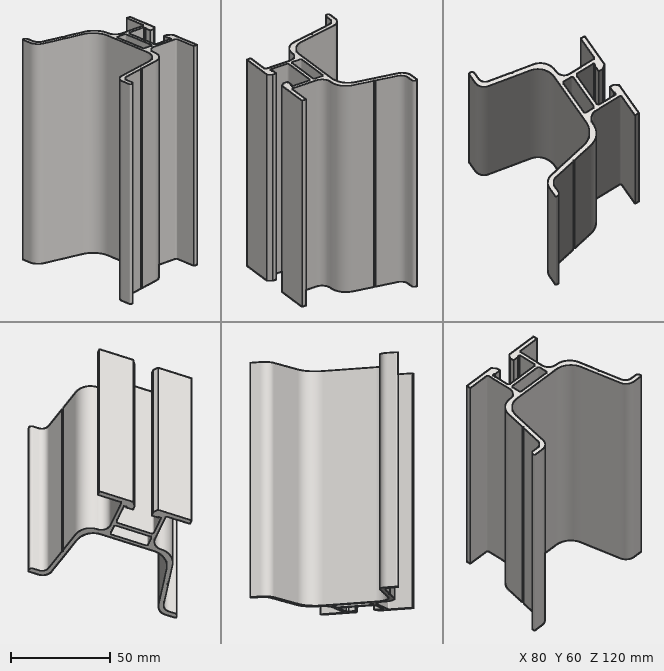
import cadquery as cq
import math

length = 120
height = 60
overall_width = 80.0

flange_half_width = 25.0
flange_thickness = 2.4
flange_root_radius = 0.7
slot_half_width = 5.0
lip_depth = 4.5
lip_chamfer_x = 1.7
lip_chamfer_y = 2.3
lip_relief_width = 1.5
lip_relief_depth = 0.4

wall_outer_x = 12.0
wall_thickness = 1.9
channel_floor_y = 44.9
channel_corner_radius = 1.2
cell_top_y = 43.0
cell_bottom_y = 37.0
cell_corner_radius = 0.8

arch_outer_y = 37.5
arch_inner_y = 35.0
arch_outer_radius = 9.0
arch_inner_radius = 10.0
wall_root_radius = 5.0
leg_slope = 0.2
leg_outer_x = 24.8
leg_thickness = 2.5
groove_center_y = 18.4
groove_width = 1.2
groove_depth = 0.5

foot_thickness = 2.6
foot_outer_radius = 4.1
foot_inner_radius = 5.5
toe_top_radius = 1.5
toe_bottom_radius = 0.5

half_width = overall_width / 2
wall_inner_x = wall_outer_x - wall_thickness
lip_bottom_y = height - lip_depth
flange_bottom_y = height - flange_thickness
groove_top_y = groove_center_y + groove_width / 2
groove_bottom_y = groove_center_y - groove_width / 2


def leg_outer(y):
    """X of the outer leg face at height y."""
    return leg_outer_x + leg_slope * (arch_outer_y - y)


def leg_inner(y):
    """X of the inner leg face at height y."""
    return leg_outer(y) - leg_thickness * math.hypot(1, leg_slope)


half_corners = [
    (0, channel_floor_y, 0),
    (wall_inner_x, channel_floor_y, channel_corner_radius),
    (wall_inner_x, lip_bottom_y + lip_relief_depth, 0),
    (wall_inner_x - lip_relief_width, lip_bottom_y + lip_relief_depth, 0),
    (wall_inner_x - lip_relief_width, lip_bottom_y, 0),
    (slot_half_width, lip_bottom_y, 0),
    (slot_half_width, height - lip_chamfer_y, 0),
    (slot_half_width + lip_chamfer_x, height, 0),
    (flange_half_width, height, 0),
    (flange_half_width, flange_bottom_y, 0),
    (wall_outer_x, flange_bottom_y, flange_root_radius),
    (wall_outer_x, arch_outer_y, wall_root_radius),
    (leg_outer(arch_outer_y), arch_outer_y, arch_outer_radius),
    (leg_outer(groove_top_y), groove_top_y, 0),
    (leg_outer(groove_center_y) - groove_depth, groove_center_y, 0),
    (leg_outer(groove_bottom_y), groove_bottom_y, 0),
    (leg_outer(foot_thickness), foot_thickness, foot_outer_radius),
    (half_width, foot_thickness, toe_top_radius),
    (half_width, 0, toe_bottom_radius),
    (leg_inner(0), 0, foot_inner_radius),
    (leg_inner(arch_inner_y), arch_inner_y, arch_inner_radius),
    (0, arch_inner_y, 0),
]


def round_corner(before, corner, after, radius):
    """Start, middle and end points of the arc that rounds a corner."""
    point = cq.Vector(*corner)
    to_before = (cq.Vector(*before) - point).normalized()
    to_after = (cq.Vector(*after) - point).normalized()
    half_angle = to_before.getAngle(to_after) / 2
    setback = radius / math.tan(half_angle)
    bisector = (to_before + to_after).normalized()
    middle_distance = radius / math.sin(half_angle) - radius
    start = point + to_before * setback
    middle = point + bisector * middle_distance
    end = point + to_after * setback
    return [p.toTuple()[:2] for p in (start, middle, end)]


def half_section():
    """Right half of the profile, extruded to full length."""
    sketch = cq.Workplane("XY").moveTo(*half_corners[0][:2])
    for i, (x, y, radius) in enumerate(half_corners[1:], start=1):
        if radius == 0:
            sketch = sketch.lineTo(x, y)
            continue
        before = half_corners[i - 1][:2]
        after = half_corners[i + 1][:2]
        start, middle, end = round_corner(before, (x, y), after, radius)
        sketch = sketch.lineTo(*start).threePointArc(middle, end)
    return sketch.close().extrude(length)


def closed_cell():
    """Rounded rectangular hollow between the channel floor and the arch."""
    cell_height = cell_top_y - cell_bottom_y
    return (
        cq.Workplane("XY")
        .center(0, cell_bottom_y + cell_height / 2)
        .rect(2 * wall_inner_x, cell_height)
        .extrude(length)
        .edges("|Z")
        .fillet(cell_corner_radius)
    )


right_half = half_section()
result = right_half.union(right_half.mirror("YZ")).clean().cut(closed_cell())